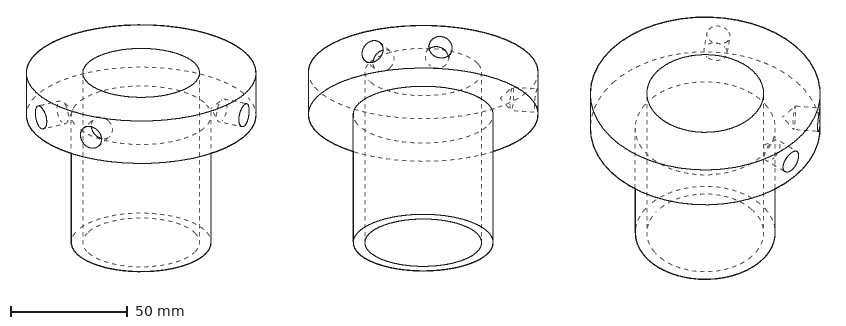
import cadquery as cq

flange_diameter = 98.5
flange_thickness = 20.0

sleeve_diameter = 60.0
sleeve_length = 60.0

bore_diameter = 50.0

rim_hole_diameter = 10.0
rim_hole_depth = 10.8
rim_hole_tip_length = rim_hole_diameter / 2
rim_hole_angles = [-80.0, -45.0, 45.0]


def make_rim_hole(angle):
    """Drill-shaped cutter entering the rim radially at mid thickness."""
    rim_radius = flange_diameter / 2
    shoulder_radius = rim_radius - rim_hole_depth
    tip_radius = shoulder_radius - rim_hole_tip_length
    hole_radius = rim_hole_diameter / 2
    return (
        cq.Workplane("XY")
        .moveTo(tip_radius, 0)
        .lineTo(shoulder_radius, hole_radius)
        .lineTo(rim_radius, hole_radius)
        .lineTo(rim_radius, 0)
        .close()
        .revolve(360, (0, 0, 0), (1, 0, 0))
        .rotate((0, 0, 0), (0, 0, 1), angle)
        .translate((0, 0, sleeve_length + flange_thickness / 2))
    )


def make_flanged_bushing():
    """Sleeve standing on Z = 0 with the flange on top, bored through."""
    bushing = (
        cq.Workplane("XY")
        .circle(sleeve_diameter / 2)
        .extrude(sleeve_length)
        .faces(">Z")
        .workplane()
        .circle(flange_diameter / 2)
        .extrude(flange_thickness)
        .faces(">Z")
        .workplane()
        .hole(bore_diameter)
    )
    for angle in rim_hole_angles:
        bushing = bushing.cut(make_rim_hole(angle))
    return bushing


flanged_bushing = make_flanged_bushing()
result = cq.Compound.makeCompound([flanged_bushing.val()])